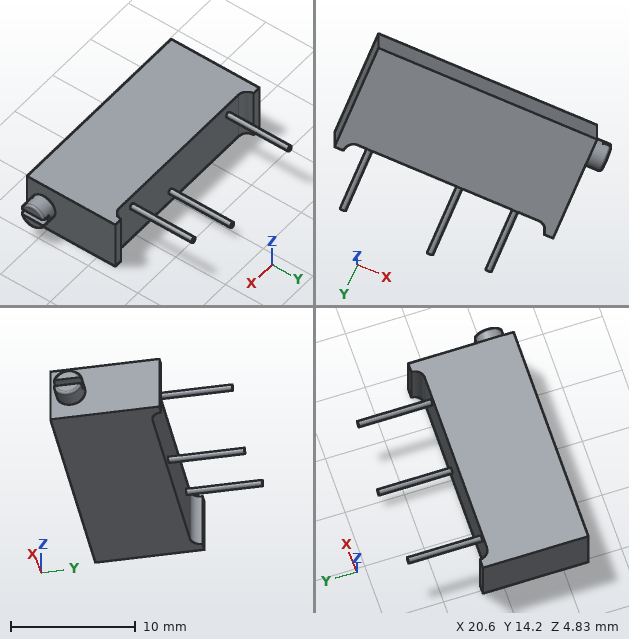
import cadquery as cq

overall_length = 20.57
overall_depth = 14.21
body_length = 19.05
body_depth = 8.89
body_height = 4.83

foot_width = 0.78
relief_depth = 0.86

pin_diameter = 0.51
first_pin_x = 3.02
wide_pin_gap = 7.6
narrow_pin_gap = 5.1
pin_row_spacing = 2.53
second_pin_x = first_pin_x + wide_pin_gap
third_pin_x = second_pin_x + narrow_pin_gap

screw_diameter = 2.35
screw_y = 1.69
screw_rounding = 0.2
slot_width = 0.6
slot_depth = 0.75

middle_z = body_height / 2
shelf_y = body_depth - relief_depth


def make_body():
    """Block whose rear face is relieved between two feet with concave corners."""
    left = foot_width
    right = body_length - foot_width
    corner_radius = relief_depth
    return (
        cq.Workplane("XY")
        .lineTo(body_length, 0)
        .lineTo(body_length, body_depth)
        .lineTo(right, body_depth)
        .radiusArc((right - corner_radius, shelf_y), corner_radius)
        .lineTo(left + corner_radius, shelf_y)
        .radiusArc((left, body_depth), corner_radius)
        .lineTo(0, body_depth)
        .close()
        .extrude(body_height)
    )


def make_pin(x, z):
    """Round pin running from the relieved face toward +Y."""
    pin_length = overall_depth - shelf_y
    return (
        cq.Workplane("XZ", origin=(x, shelf_y, z))
        .circle(pin_diameter / 2)
        .extrude(-pin_length)
    )


def make_screw():
    """Screw head on the +X end, with a rounded rim and a slot along Y."""
    head = (
        cq.Workplane("YZ", origin=(body_length, screw_y, middle_z))
        .circle(screw_diameter / 2)
        .extrude(overall_length - body_length)
        .faces(">X")
        .edges()
        .fillet(screw_rounding)
    )
    slot = cq.Workplane("XY").box(2 * slot_depth, screw_diameter, slot_width)
    return head.cut(slot.translate((overall_length, screw_y, middle_z)))


upper_row_z = middle_z + pin_row_spacing / 2
lower_row_z = middle_z - pin_row_spacing / 2
pin_positions = [
    (first_pin_x, upper_row_z),
    (second_pin_x, lower_row_z),
    (third_pin_x, upper_row_z),
]

result = make_body().union(make_screw())
for pin_x, pin_z in pin_positions:
    result = result.union(make_pin(pin_x, pin_z))